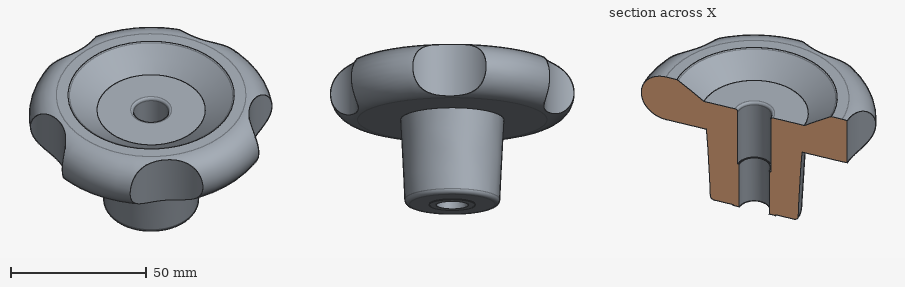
import cadquery as cq

head_radius = 45.0
head_height = 20.0
rim_radius = head_height / 2
rim_flat_radius = head_radius - rim_radius

scallop_count = 5
scallop_radius = 18.45
scallop_depth = 8.0
first_scallop_angle = -90.0

dish_top_radius = 30.15
dish_floor_radius = 20.0
dish_depth = 7.1
dish_edge_width = 0.5
dish_edge_depth = 0.3

total_height = 52.4
insert_diameter = 17.0
insert_projection = 0.4
boss_length = total_height - head_height - insert_projection
boss_top_radius = 19.1
boss_end_radius = 17.5
boss_end_fillet = 1.8

bore_diameter = 13.0
insert_bore_diameter = 11.9
insert_length = 20.0
bore_mouth_fillet = 1.1

head_top = head_height
dish_floor = head_top - dish_depth
boss_end = -boss_length
insert_end = boss_end - insert_projection
insert_top = insert_end + insert_length


def make_head():
    profile = (
        cq.Workplane("XZ")
        .lineTo(rim_flat_radius, 0)
        .threePointArc((head_radius, rim_radius), (rim_flat_radius, head_top))
        .lineTo(0, head_top)
        .close()
    )
    return profile.revolve(360, (0, 0), (0, 1))


def make_boss():
    profile = (
        cq.Workplane("XZ")
        .lineTo(boss_top_radius, 0)
        .lineTo(boss_end_radius, boss_end)
        .lineTo(0, boss_end)
        .close()
    )
    boss = profile.revolve(360, (0, 0), (0, 1))
    return boss.faces("<Z").edges().fillet(boss_end_fillet)


def make_insert_end():
    end_plane = cq.Workplane("XY", origin=(0, 0, insert_end))
    return end_plane.circle(insert_diameter / 2).extrude(insert_projection)


def make_scallops():
    return (
        cq.Workplane("XY")
        .polarArray(head_radius - scallop_depth + scallop_radius, first_scallop_angle, 360, scallop_count)
        .circle(scallop_radius)
        .extrude(head_height)
    )


def make_dish():
    profile = (
        cq.Workplane("XZ")
        .moveTo(0, dish_floor)
        .lineTo(dish_floor_radius, dish_floor)
        .lineTo(dish_top_radius, head_top - dish_edge_depth)
        .lineTo(dish_top_radius + dish_edge_width, head_top)
        .lineTo(0, head_top)
        .close()
    )
    return profile.revolve(360, (0, 0), (0, 1))


def make_bore():
    """Bore with a wider upper part and a rounded mouth at the dish floor."""
    bore_radius = bore_diameter / 2
    insert_bore_radius = insert_bore_diameter / 2
    profile = (
        cq.Workplane("XZ")
        .moveTo(0, insert_end)
        .lineTo(insert_bore_radius, insert_end)
        .lineTo(insert_bore_radius, insert_top)
        .lineTo(bore_radius, insert_top)
        .lineTo(bore_radius, dish_floor - bore_mouth_fillet)
        .radiusArc((bore_radius + bore_mouth_fillet, dish_floor), bore_mouth_fillet)
        .lineTo(0, dish_floor)
        .close()
    )
    return profile.revolve(360, (0, 0), (0, 1))


result = (
    make_head()
    .cut(make_scallops())
    .union(make_boss())
    .union(make_insert_end())
    .cut(make_dish())
    .cut(make_bore())
)